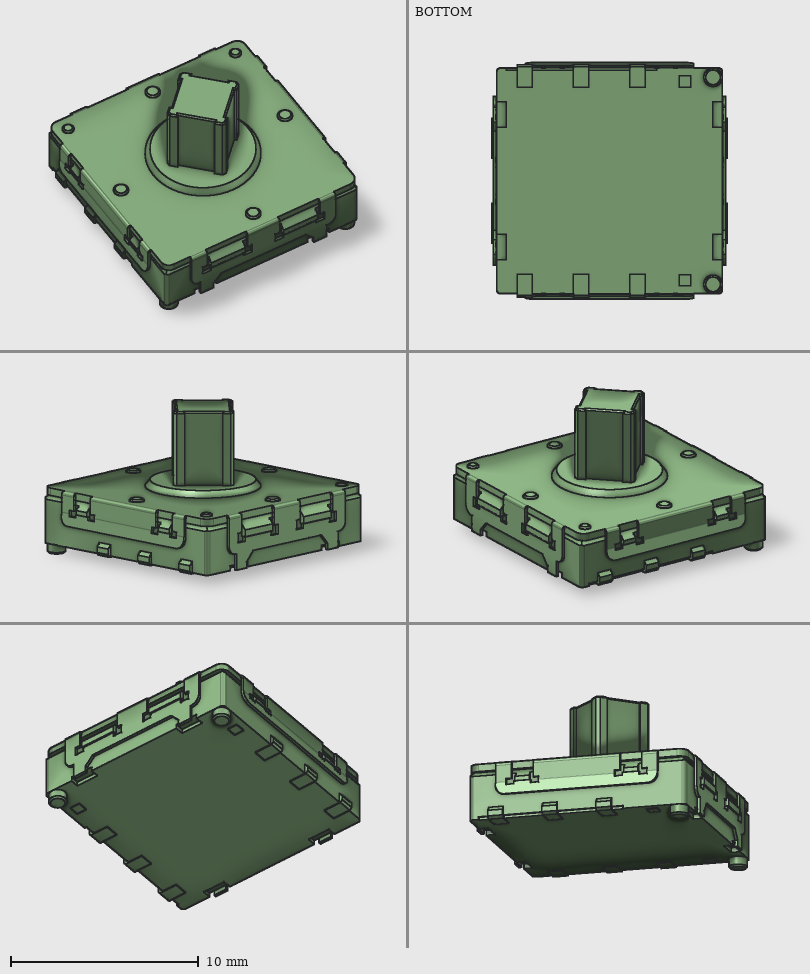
import cadquery as cq
import math

housing_top = 2.65
cover_thickness = 0.4
cover_top = housing_top + cover_thickness
collar_top = 3.4
stem_top = 7.4
peg_length = 0.54

footprint = 12.0
half_width = footprint / 2
housing_corner = 0.2
housing_chamfer_height = 0.25
housing_chamfer_inset = 0.23
cover_corner = 0.49
recess_left = -5.49
recess_right = 2.52
recess_height = 0.15
recess_depth = 0.13

sheet = 0.15
tab_outer = 6.18
tab_inner = tab_outer - sheet
bend_radius = tab_outer - half_width
tab_half_span = 4.48
flare_start = 1.93
flare_end = 1.23
flare_reach = 6.3
flare_corner = 0.5
leg_tab_bottom = 0.88
leg_tab_corner = 0.5
leg_outer = 3.92
leg_inner = 3.12
arch_half_span = 2.63
arch_shoulder = 0.34
leg_notch_margin = 0.28
leg_notch_height = 0.26
leg_notch_depth = 0.5

catch_slope = housing_chamfer_height / housing_chamfer_inset
flared_side_catch_reach = 0.2
leg_side_catch_reach = 0.25

collar_radius = 3.08
collar_top_radius = 2.82
stem_tip = 2.15
stem_tip_half_width = 0.12
stem_post_half_width = 0.43
stem_flat_recess = 0.14
stem_chamfer = 0.09

stud_height = 0.11
stud_chamfer = 0.09
large_stud_radius = 0.4
large_stud_offset = 5.11
small_stud_radius = 0.31
small_stud_offset = 5.21
terminal_pitch = 3.0
terminal_width = 0.82
terminal_center = -1.51
terminal_height = 0.63
terminal_drop = 0.05
terminal_bevel = 0.21
terminal_foot_end = 4.97
peg_radius = 0.49
peg_offset = 5.5
peg_chamfer = 0.1
pad_left = 3.7
pad_size = 0.6
pad_center_y = 5.29


def box(x0, x1, y0, y1, z0, z1):
    """Axis-aligned block given by its limits."""
    return cq.Workplane("XY").box(x1 - x0, y1 - y0, z1 - z0, centered=False).translate((x0, y0, z0))


def turned(shape, angle):
    """Shape turned about the vertical axis."""
    return shape.rotate((0, 0, 0), (0, 0, 1), angle)


def side_profile(points, center, width):
    """(outward, height) profile swept along X on the -Y side."""
    path = [(-outward, height) for outward, height in points]
    start = center - width / 2
    return cq.Workplane("YZ").workplane(offset=start).polyline(path).close().extrude(width)


def make_housing():
    """Block with rounded corners, a bevelled upper rim and a shallow recess at the foot of its -Y side."""
    prism = box(-half_width, half_width, -half_width, half_width, 0, housing_top)
    bevelled = prism.faces(">Z").edges().chamfer(housing_chamfer_height, housing_chamfer_inset)
    housing = prism.edges("|Z").fillet(housing_corner).intersect(bevelled)
    recess = box(recess_left, recess_right, -half_width, recess_depth - half_width, 0, recess_height)
    return housing.cut(recess)


def make_cover():
    cover = box(-half_width, half_width, -half_width, half_width, housing_top, cover_top)
    return cover.edges("|Z").fillet(cover_corner)


def window(center, width, bottom, foot):
    """Slot in a tab, open at the top, with a small foot notch around each lower corner."""
    outer_side = half_width + 2 * sheet
    cutter = box(center - width / 2, center + width / 2, -outer_side, -half_width, bottom, cover_top)
    for side in (-1, 1):
        corner = center + side * width / 2
        left, right = sorted((corner - side * foot["inward"], corner + side * foot["outward"]))
        low = bottom - foot["down"]
        high = bottom + foot["up"]
        cutter = cutter.union(box(left, right, -outer_side, -half_width, low, high))
    return cutter


def catch(center, width, bottom, reach):
    """Snap catch filling the middle of a window."""
    root = half_width - housing_chamfer_inset
    tip = half_width + reach
    bend = housing_top - (tip - root) * catch_slope
    points = [
        (root, housing_top),
        (tip, bend),
        (tip, bottom),
        (root, bottom),
    ]
    return side_profile(points, center, width)


def bent_sheet(lower_points):
    """Sheet leaving the cover flat and bending down; lower_points run from its outer to its inner face."""
    root = half_width - sheet
    points = [(root, cover_top), (tab_outer, cover_top)]
    points += lower_points
    points += [(tab_inner, cover_top - sheet), (root, cover_top - sheet)]
    strip = side_profile(points, 0, 2 * tab_half_span)
    top_outer = cq.selectors.NearestToPointSelector((0, -tab_outer, cover_top))
    return strip.edges(top_outer).fillet(bend_radius)


def make_flared_side():
    """Tab with a flared lower lip and two narrow windows, on the -Y side."""
    flare_inner = flare_reach - sheet
    strip = bent_sheet([
        (tab_outer, flare_start),
        (flare_reach, flare_end),
        (flare_inner, flare_end),
        (tab_inner, flare_start),
    ])
    outline = box(-tab_half_span, tab_half_span, -flare_reach, -half_width, flare_end, cover_top)
    tab = strip.intersect(outline.edges("|Y and <Z").fillet(flare_corner))
    window_center = 3.01
    window_width = 1.21
    catch_width = 0.78
    foot = {"inward": 0.15, "outward": 0.3, "down": 0.16, "up": 0.16}
    for side in (-1, 1):
        center = side * window_center
        tab = tab.cut(window(center, window_width, flare_start, foot))
        tab = tab.union(catch(center, catch_width, flare_start, flared_side_catch_reach))
    return tab


def make_leg_side():
    """Tab with two legs reaching the underside and two wide windows, on the -Y side."""
    strip = bent_sheet([(tab_outer, 0), (tab_inner, 0)])
    upper = box(-tab_half_span, tab_half_span, -tab_outer, -half_width, leg_tab_bottom, cover_top)
    outline = upper.edges("|Y and <Z").fillet(leg_tab_corner)
    outline = outline.union(box(-leg_outer, leg_outer, -tab_outer, -half_width, 0, leg_tab_bottom))
    tab = strip.intersect(outline).cut(leg_arch())
    window_center = 2.25
    window_width = 2.52
    window_bottom = 1.72
    catch_width = 2.13
    foot = {"inward": 0.25, "outward": 0.28, "down": 0.25, "up": 0.26}
    for side in (-1, 1):
        center = side * window_center
        tab = tab.cut(window(center, window_width, window_bottom, foot))
        tab = tab.union(catch(center, catch_width, window_bottom, leg_side_catch_reach))
    return tab


def leg_arch():
    """Opening between the two legs."""
    points = [
        (-leg_inner, 0),
        (-leg_inner, arch_shoulder),
        (-arch_half_span, leg_tab_bottom),
        (arch_half_span, leg_tab_bottom),
        (leg_inner, arch_shoulder),
        (leg_inner, 0),
    ]
    return cq.Workplane("XZ").workplane(offset=half_width).polyline(points).close().extrude(2 * sheet)


def leg_notches():
    """Housing notches behind the legs, slightly wider than them, on the -Y side."""
    inner_side = leg_notch_depth - half_width
    near = leg_inner - leg_notch_margin
    far = leg_outer + leg_notch_margin
    right_notch = box(near, far, -half_width, inner_side, 0, leg_notch_height)
    return right_notch.union(right_notch.mirror("YZ"))


def terminal(center):
    """Terminal on the -Y side, bent under the housing."""
    lower_bevel = terminal_bevel / 2
    points = [
        (half_width, terminal_height),
        (tab_outer, terminal_height - terminal_bevel),
        (tab_outer, lower_bevel),
        (tab_outer - lower_bevel, -terminal_drop),
        (terminal_foot_end, -terminal_drop),
        (terminal_foot_end, terminal_height),
    ]
    return side_profile(points, center, terminal_width)


def quarter_turned(point, quarters):
    """Point turned about the origin by a number of right angles."""
    x, y = point
    for _ in range(quarters):
        x, y = -y, x
    return (x, y)


def make_stem():
    """Square stem turned by 45 degrees; its flats lie back between four corner posts."""
    post_end = stem_tip + stem_tip_half_width - stem_post_half_width
    recess = stem_flat_recess / math.sqrt(2)
    flat_near = stem_post_half_width - recess
    flat_far = post_end - recess
    post = [
        (-flat_near, -flat_far),
        (-stem_post_half_width, -post_end),
        (-stem_tip_half_width, -stem_tip),
        (stem_tip_half_width, -stem_tip),
        (stem_post_half_width, -post_end),
        (flat_near, -flat_far),
    ]
    outline = []
    for quarter in range(4):
        for point in post:
            outline.append(quarter_turned(point, quarter))
    height = stem_top - cover_top
    stem = cq.Workplane("XY", origin=(0, 0, cover_top)).polyline(outline).close().extrude(height)
    return stem.faces(">Z").edges().chamfer(stem_chamfer)


def make_collar():
    collar = cq.Solid.makeCone(collar_radius, collar_top_radius, collar_top - cover_top)
    return cq.Workplane(collar).translate((0, 0, cover_top))


def stud(x, y, radius):
    """Low round stud on the cover."""
    cylinder = cq.Workplane("XY", origin=(x, y, cover_top)).circle(radius).extrude(stud_height)
    return cylinder.faces(">Z").edges().chamfer(stud_chamfer)


def peg(x, y):
    """Locating peg under the housing."""
    cylinder = cq.Workplane("XY", origin=(x, y, 0)).circle(peg_radius).extrude(-peg_length)
    return cylinder.faces("<Z").edges().chamfer(peg_chamfer)


def pad(center_y):
    """Thin square pad under the housing."""
    near = center_y - pad_size / 2
    return box(pad_left, pad_left + pad_size, near, near + pad_size, -terminal_drop, 0)


result = make_housing().union(make_cover())

for angle in (90, -90):
    result = result.cut(turned(leg_notches(), angle))
    result = result.union(turned(make_leg_side(), angle))

for angle in (0, 180):
    result = result.union(turned(make_flared_side(), angle))

for step in (-1, 0, 1):
    front_terminal = terminal(terminal_center + step * terminal_pitch)
    result = result.union(front_terminal).union(front_terminal.mirror("XZ"))

result = result.union(make_collar()).union(make_stem())

for side in (-1, 1):
    result = result.union(stud(-small_stud_offset, side * small_stud_offset, small_stud_radius))
    result = result.union(stud(side * large_stud_offset, 0, large_stud_radius))
    result = result.union(stud(0, side * large_stud_offset, large_stud_radius))
    result = result.union(peg(peg_offset, side * peg_offset))
    result = result.union(pad(side * pad_center_y))